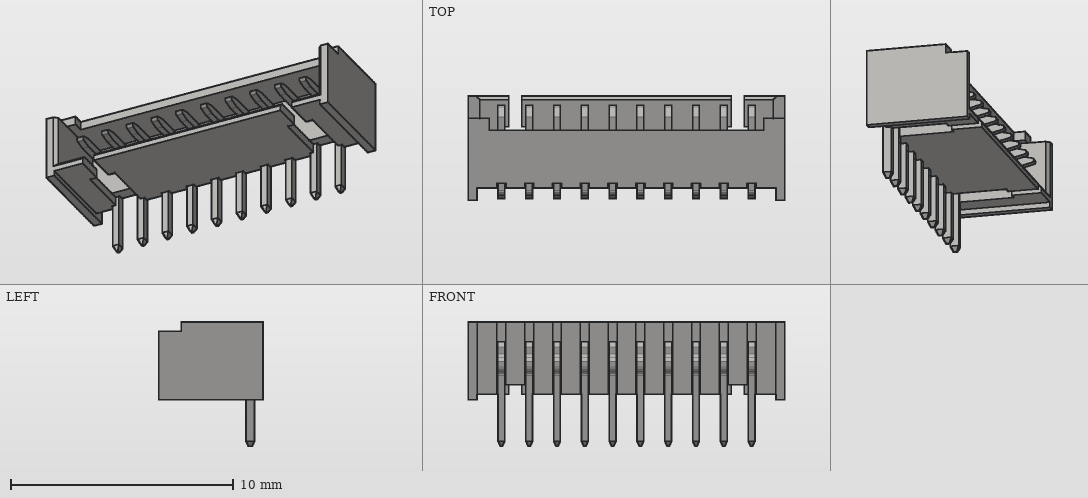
import cadquery as cq
import math


length = 14.25
depth = 4.7
cheek_height = 3.5
cheek_thickness = 0.4
body_front = 0.55
body_height = 3.26

roof_thickness = 0.41
floor_thickness = 0.43
cavity_side_wall = 0.53
cavity_back = 1.17
mouth_chamfer = 0.17
cavity_width = length - 2 * cavity_side_wall
cavity_floor = floor_thickness - body_height

roof_rear = 3.69
roof_notch_margin = 0.95
roof_notch_front = 3.16

pin_count = 10
row_span = 11.26
pitch = row_span / (pin_count - 1)
pin_width = 0.31
pin_thickness = 0.4
channel_width = 0.4
channel_bottom = 0.77

floor_slot_width = 0.57
floor_slot_front = 3.3

elbow_top = -0.9
bend_radius = 0.23
bend_front = 0.23
bulge_front = 0.09
bulge_rise_top = -1.42
bulge_rise_bottom = -1.77
bulge_fall_top = -2.02
bulge_fall_bottom = -2.41
leg_front = 0.38
leg_back = leg_front + pin_thickness
leg_bottom = -5.6
leg_point_length = 0.24
leg_point_inset = 0.11

mating_center = (cavity_floor - roof_thickness) / 2
mating_top = mating_center + pin_thickness / 2
mating_bottom = mating_center - pin_thickness / 2
mating_step = (channel_bottom + cavity_back) / 2
nose_end = 4.29
nose_taper_length = 0.51
nose_taper_inset = 0.11
nose_fillet = 0.09

pin_positions = [i * pitch - row_span / 2 for i in range(pin_count)]


def box(x_center, x_size, y_range, z_range):
    """Box centred on x_center, spanning the given Y and Z ranges."""
    y_min, y_max = y_range
    z_min, z_max = z_range
    return (
        cq.Workplane("XY")
        .box(x_size, y_max - y_min, z_max - z_min, centered=(True, False, False))
        .translate((x_center, y_min, z_min))
    )


def make_block():
    """Solid housing block with an end cheek on each side."""
    block = box(0, length, (body_front, depth), (-body_height, 0))
    for side in (-1, 1):
        cheek_center = side * (length - cheek_thickness) / 2
        block = block.union(box(cheek_center, cheek_thickness, (0, depth), (-cheek_height, 0)))
    return block


def make_cavity():
    """Mating cavity with a chamfered mouth along its floor and side walls."""
    cavity = box(0, cavity_width, (cavity_back, depth), (cavity_floor, -roof_thickness))
    mouth_width = cavity_width + 2 * mouth_chamfer
    mouth_bottom = cavity_floor - mouth_chamfer
    chamfer = (
        cq.Workplane("XZ", origin=(0, depth, mouth_bottom / 2))
        .rect(mouth_width, -mouth_bottom)
        .extrude(mouth_chamfer, taper=45)
    )
    return cavity.union(chamfer)


def make_roof_cutouts():
    """Step across the rear of the roof and the wide notch in front of it."""
    step = box(0, length, (roof_rear, depth), (-roof_thickness, 0))
    notch_width = length - 2 * roof_notch_margin
    notch = box(0, notch_width, (roof_notch_front, depth), (-roof_thickness, 0))
    return step.union(notch)


def make_floor_opening(x_center):
    """Wide relief through the floor from the front, then a narrow slot out to the rear."""
    floor_range = (-body_height, cavity_floor)
    relief = box(x_center, pitch, (body_front, floor_slot_front), floor_range)
    slot = box(x_center, floor_slot_width, (floor_slot_front, depth), floor_range)
    return relief.union(slot)


def make_housing():
    housing = make_block().cut(make_cavity()).cut(make_roof_cutouts())
    for x in pin_positions:
        housing = housing.cut(box(x, channel_width, (body_front, channel_bottom), (-body_height, 0)))
    opening_offset = pin_positions[-1] - pitch / 2
    for side in (-1, 1):
        housing = housing.cut(make_floor_opening(side * opening_offset))
    return housing


def make_pin():
    """Bent pin with a bulged elbow, a pointed solder leg and a tapered mating nose."""
    leg_point_top = leg_bottom + leg_point_length
    rise_middle = ((bend_front + bulge_front) / 2, (bulge_rise_top + bulge_rise_bottom) / 2)
    fall_middle = ((bulge_front + leg_front) / 2, (bulge_fall_top + bulge_fall_bottom) / 2)
    nose_start = nose_end - nose_taper_length
    profile = (
        cq.Workplane("YZ", origin=(-pin_width / 2, 0, 0))
        .moveTo(nose_start, mating_top)
        .lineTo(mating_step, mating_top)
        .lineTo(mating_step, elbow_top)
        .lineTo(bend_front + bend_radius, elbow_top)
        .tangentArcPoint((bend_front, elbow_top - bend_radius), relative=False)
        .lineTo(bend_front, bulge_rise_top)
        .tangentArcPoint(rise_middle, relative=False)
        .tangentArcPoint((bulge_front, bulge_rise_bottom), relative=False)
        .lineTo(bulge_front, bulge_fall_top)
        .tangentArcPoint(fall_middle, relative=False)
        .tangentArcPoint((leg_front, bulge_fall_bottom), relative=False)
        .lineTo(leg_front, leg_point_top)
        .lineTo(leg_back, leg_point_top)
        .lineTo(leg_back, mating_bottom)
        .lineTo(nose_start, mating_bottom)
        .lineTo(nose_end, mating_bottom + nose_taper_inset)
        .lineTo(nose_end, mating_top - nose_taper_inset)
        .close()
    )
    shank = profile.extrude(pin_width).edges("|X").edges(">Y").fillet(nose_fillet)
    point = (
        cq.Workplane("XY", origin=(0, (leg_front + leg_back) / 2, leg_point_top))
        .rect(pin_width, pin_thickness)
        .extrude(-leg_point_length, taper=math.degrees(math.atan(leg_point_inset / leg_point_length)))
    )
    return shank.union(point)


result = make_housing()
pin = make_pin()
for x in pin_positions:
    result = result.union(pin.translate((x, 0, 0)))